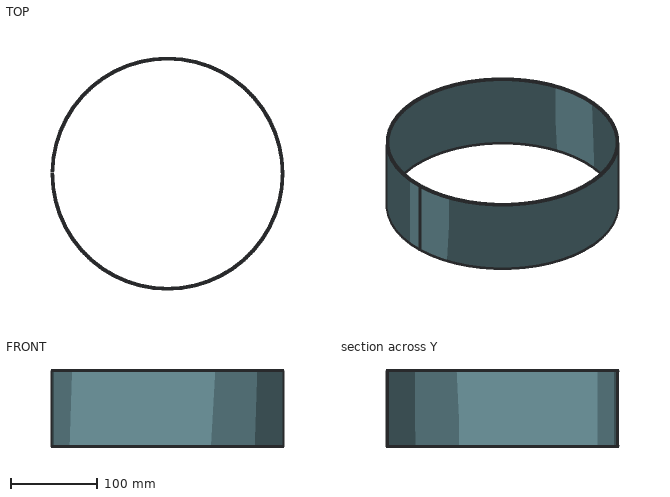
import cadquery as cq

outer_diameter = 270.0
wall = 2.5
height = 90.0

bevel_height = 1.5
bevel_depth = 0.5

slit_width = 2.2

outer_radius = outer_diameter / 2
inner_radius = outer_radius - wall


def make_band():
    """Thin ring with bevelled rims, made by revolving the wall section about Z."""
    half_height = height / 2
    shoulder = half_height - bevel_height
    rim_outer = outer_radius - bevel_depth
    rim_inner = inner_radius + bevel_depth
    section = [
        (inner_radius, -shoulder),
        (rim_inner, -half_height),
        (rim_outer, -half_height),
        (outer_radius, -shoulder),
        (outer_radius, shoulder),
        (rim_outer, half_height),
        (rim_inner, half_height),
        (inner_radius, shoulder),
    ]
    return cq.Workplane("XZ").polyline(section).close().revolve(360, (0, 0), (0, 1))


def make_slit():
    """Cutter that opens the band along its full height."""
    cutter_length = 4 * wall
    cutter = cq.Workplane("XY").box(cutter_length, slit_width, height)
    return cutter.translate((-outer_radius, slit_width / 2, 0))


result = make_band().cut(make_slit())